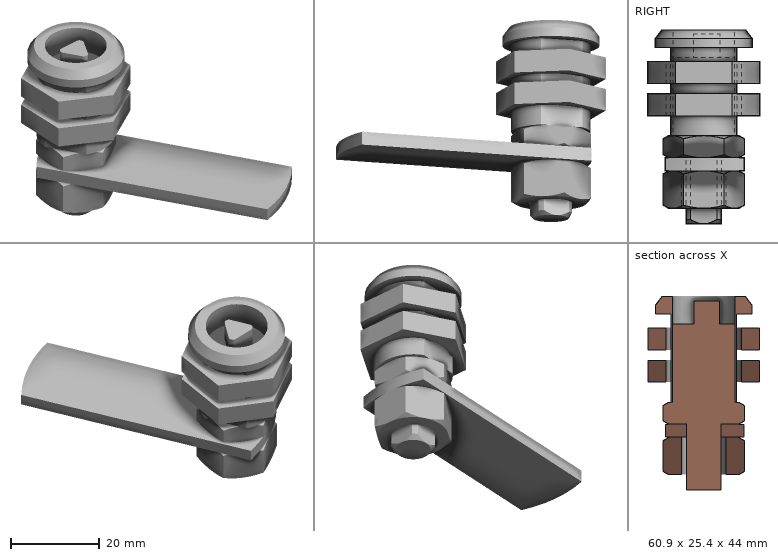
import cadquery as cq
import math


HEAD_DIAMETER = 22.0
HEAD_HEIGHT = 4.0
HEAD_BEVEL_HEIGHT = 2.0
HEAD_BEVEL_WIDTH = 1.5
SLEEVE_DIAMETER = 18.0
SLEEVE_ACROSS_FLATS = 15.0
HOUSING_LENGTH = 24.0
BORE_DIAMETER = 14.0

MOUNTING_NUT_ACROSS_FLATS = HEAD_DIAMETER
MOUNTING_NUT_HEIGHT = 5.0
FIRST_NUT_DEPTH = 7.2
NUT_GAP = 2.3
MOUNTING_NUT_BORE_DIAMETER = 17.0
MOUNTING_NUT_COUNT = 2

KEY_DEPTH = 1.0
KEY_INRADIUS = 2.3
KEY_CORNER_RADIUS = 1.0
BARREL_DEPTH = 6.3
COLLAR_ACROSS_FLATS = 16.0
COLLAR_HEIGHT = 5.0
SHANK_DIAMETER = 10.0
SHANK_ACROSS_FLATS = 8.0
SHANK_PROJECTION = 3.55

CAM_THICKNESS = 3.0
CAM_WIDTH = 18.0
CAM_OFFSET_Y = 0.25
OVERALL_LENGTH = 60.95
CAM_TAIL = COLLAR_ACROSS_FLATS / 2
CAM_REACH = OVERALL_LENGTH - MOUNTING_NUT_ACROSS_FLATS / 2
CAM_END_RADIUS = (CAM_TAIL + CAM_REACH) / 2

CLAMP_NUT_HEIGHT = 8.5
HEX_BEVEL_ANGLE = 30.0

COLLAR_TOP = -HOUSING_LENGTH
CAM_TOP = COLLAR_TOP - COLLAR_HEIGHT
CLAMP_NUT_TOP = CAM_TOP - CAM_THICKNESS
CLAMP_NUT_BOTTOM = CLAMP_NUT_TOP - CLAMP_NUT_HEIGHT
SPINDLE_BOTTOM = CLAMP_NUT_BOTTOM - SHANK_PROJECTION


def cylinder_down(top, diameter, height):
    """Cylinder on the lock axis that hangs down from the given level."""
    return cq.Workplane("XY").workplane(offset=top).circle(diameter / 2).extrude(-height)


def across_corners(across_flats):
    """Corner-to-corner size of a regular hexagon."""
    return across_flats / math.cos(math.pi / 6)


def hexagon_down(top, across_flats, height):
    """Hexagonal prism with corners on +Y and -Y that hangs down from the given level."""
    return (
        cq.Workplane("XY")
        .workplane(offset=top)
        .transformed(rotate=(0, 0, 90))
        .polygon(6, across_corners(across_flats))
        .extrude(-height)
    )


def beveled_hexagon_down(top, across_flats, height):
    """Hexagonal prism whose corners are beveled by a cone at both ends."""
    flat_radius = across_flats / 2
    corner_radius = across_corners(across_flats) / 2
    bevel_width = corner_radius - flat_radius
    bevel_height = bevel_width * math.tan(math.radians(HEX_BEVEL_ANGLE))
    bottom = top - height
    envelope = (
        cq.Workplane("XZ")
        .moveTo(0, top)
        .lineTo(flat_radius, top)
        .lineTo(corner_radius, top - bevel_height)
        .lineTo(corner_radius, bottom + bevel_height)
        .lineTo(flat_radius, bottom)
        .lineTo(0, bottom)
        .close()
        .revolve(360, (0, 0, 0), (0, 1, 0))
    )
    return hexagon_down(top, across_flats, height).intersect(envelope)


def shank_down(top, height):
    """Round bar with four flats, square to X and Y, that hangs down from the given level."""
    square = (
        cq.Workplane("XY")
        .workplane(offset=top)
        .rect(SHANK_ACROSS_FLATS, SHANK_ACROSS_FLATS)
        .extrude(-height)
    )
    return cylinder_down(top, SHANK_DIAMETER, height).intersect(square)


def sleeve_down(top, height):
    """Solid round bar with flats on +Y and -Y that hangs down from the given level."""
    flats = (
        cq.Workplane("XY")
        .workplane(offset=top)
        .rect(SLEEVE_DIAMETER, SLEEVE_ACROSS_FLATS)
        .extrude(-height)
    )
    return cylinder_down(top, SLEEVE_DIAMETER, height).intersect(flats)


def make_housing():
    """Beveled round head on a flatted sleeve, bored through for the spindle."""
    head_radius = HEAD_DIAMETER / 2
    head = (
        cq.Workplane("XZ")
        .moveTo(0, 0)
        .lineTo(head_radius - HEAD_BEVEL_WIDTH, 0)
        .lineTo(head_radius, -HEAD_BEVEL_HEIGHT)
        .lineTo(head_radius, -HEAD_HEIGHT)
        .lineTo(0, -HEAD_HEIGHT)
        .close()
        .revolve(360, (0, 0, 0), (0, 1, 0))
    )
    sleeve_length = HOUSING_LENGTH - HEAD_HEIGHT
    sleeve = sleeve_down(-HEAD_HEIGHT, sleeve_length)
    bore = cylinder_down(0, BORE_DIAMETER, HOUSING_LENGTH)
    return head.union(sleeve).cut(bore)


def make_mounting_nut(top):
    """Hexagonal nut that fits the round sides of the sleeve and leaves a gap beside its flats."""
    blank = hexagon_down(top, MOUNTING_NUT_ACROSS_FLATS, MOUNTING_NUT_HEIGHT)
    bore = cylinder_down(top, MOUNTING_NUT_BORE_DIAMETER, MOUNTING_NUT_HEIGHT)
    sleeve_hole = sleeve_down(top, MOUNTING_NUT_HEIGHT)
    return blank.cut(bore).cut(sleeve_hole)


def make_key():
    """Triangular key with rounded corners, one of them on +Y."""
    sharp_corner_radius = KEY_INRADIUS / math.cos(math.pi / 3)
    return (
        cq.Workplane("XY")
        .workplane(offset=-KEY_DEPTH)
        .transformed(rotate=(0, 0, 90))
        .polygon(3, 2 * sharp_corner_radius)
        .extrude(KEY_DEPTH - BARREL_DEPTH)
        .edges("|Z")
        .fillet(KEY_CORNER_RADIUS)
    )


def make_spindle():
    """Key, barrel, collar and shank as one solid."""
    barrel = cylinder_down(-BARREL_DEPTH, BORE_DIAMETER, HOUSING_LENGTH - BARREL_DEPTH)
    collar = beveled_hexagon_down(COLLAR_TOP, COLLAR_ACROSS_FLATS, COLLAR_HEIGHT)
    shank_length = CAM_TOP - SPINDLE_BOTTOM
    tip_bevel = (SHANK_DIAMETER - SHANK_ACROSS_FLATS) / 2
    beveled_bar = cylinder_down(CAM_TOP, SHANK_DIAMETER, shank_length).faces("<Z").chamfer(tip_bevel)
    shank = shank_down(CAM_TOP, shank_length).intersect(beveled_bar)
    return barrel.union(make_key()).union(collar).union(shank)


def make_cam():
    """Flat arm with two rounded ends and a hole that matches the shank."""
    half_width = CAM_WIDTH / 2
    end_bulge = CAM_END_RADIUS - math.sqrt(CAM_END_RADIUS**2 - half_width**2)
    low_y = CAM_OFFSET_Y - half_width
    high_y = CAM_OFFSET_Y + half_width
    plate = (
        cq.Workplane("XY")
        .workplane(offset=CAM_TOP)
        .moveTo(end_bulge - CAM_TAIL, low_y)
        .lineTo(CAM_REACH - end_bulge, low_y)
        .threePointArc((CAM_REACH, CAM_OFFSET_Y), (CAM_REACH - end_bulge, high_y))
        .lineTo(end_bulge - CAM_TAIL, high_y)
        .threePointArc((-CAM_TAIL, CAM_OFFSET_Y), (end_bulge - CAM_TAIL, low_y))
        .close()
        .extrude(-CAM_THICKNESS)
    )
    return plate.cut(shank_down(CAM_TOP, CAM_THICKNESS))


def make_clamp_nut():
    """Beveled hexagonal nut that holds the cam against the collar."""
    blank = beveled_hexagon_down(CLAMP_NUT_TOP, COLLAR_ACROSS_FLATS, CLAMP_NUT_HEIGHT)
    return blank.cut(cylinder_down(CLAMP_NUT_TOP, SHANK_DIAMETER, CLAMP_NUT_HEIGHT))


housing = make_housing()
spindle = make_spindle()
cam = make_cam()
clamp_nut = make_clamp_nut()

nut_pitch = MOUNTING_NUT_HEIGHT + NUT_GAP
mounting_nuts = []
for index in range(MOUNTING_NUT_COUNT):
    nut_top = -FIRST_NUT_DEPTH - index * nut_pitch
    mounting_nuts.append(make_mounting_nut(nut_top).val())

result = cq.Compound.makeCompound(
    [housing.val(), *mounting_nuts, spindle.val(), cam.val(), clamp_nut.val()]
)